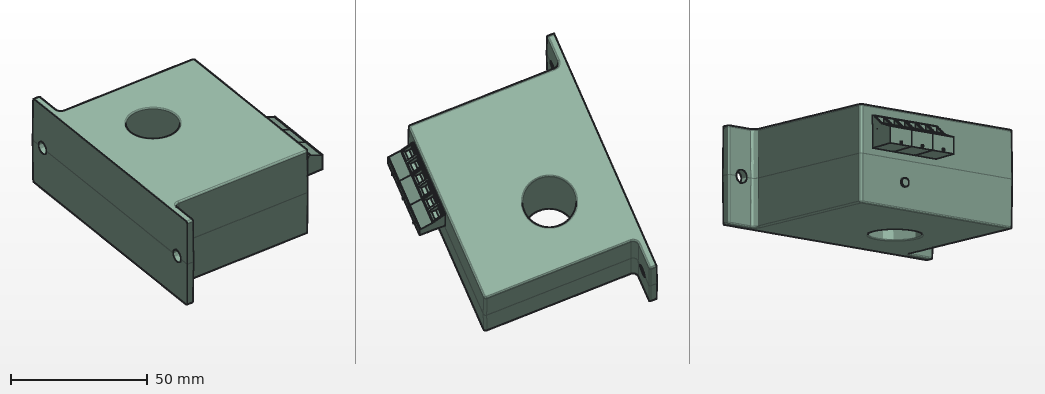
import cadquery as cq
import math


housing_height = 36.9
half_height = housing_height / 2
flange_length = 98.0
flange_thickness = 3.2
body_width = 72.9
body_depth = 63.3
draft_angle = 0.5
corner_radius = 1.0
flange_end_radius = 0.6
inner_corner_radius = 2.0
rim_radius = 0.7

cable_hole_diameter = 19.6
cable_hole_x = -10.7
cable_hole_y = 26.8
cable_hole_rim_radius = 0.5
screw_hole_diameter = 4.9
screw_hole_spacing = 85.3

boss_diameter = 3.3
boss_z = -8.3
boss_height = 0.7

terminal_count = 3
terminal_pitch = 10.1
terminal_row_x = 15.6
terminal_bottom = 2.45
terminal_lip_bottom = 2.7
terminal_top = 14.7
terminal_shelf_z = 9.1
terminal_back_y = 73.4
shelf_depth = 0.4
ramp_start_y = 63.7
ramp_end_y = 68.3
ramp_end_z = 10.9

pocket_pitch = terminal_pitch / 2
pocket_width = 4.1
pocket_wall = 0.4
pocket_floor_z = 9.3
pocket_floor_start_y = 65.1
pocket_floor_end_y = 66.7
pocket_step_z = 10.2

total_depth = 73.9
stud_diameter = 1.0
stud_z = 3.6


def back_face_y(z):
    """Y of the drafted back face of the housing at height z."""
    return body_depth - abs(z) * math.tan(math.radians(draft_angle))


def round_corners(half, x, y, radius):
    """Round the two upright edges that start at (-x, y) and (x, y) in the mid plane."""
    for corner_x in (-x, x):
        corner = cq.selectors.NearestToPointSelector((corner_x, y, half_height / 2))
        half = half.edges(corner).fillet(radius)
    return half


def housing_half():
    """Upper half of the housing: a T outline that narrows upwards."""
    flange_x = flange_length / 2
    body_x = body_width / 2
    arc_x = body_x + inner_corner_radius
    arc_y = flange_thickness + inner_corner_radius
    arc_offset = inner_corner_radius * (1 - math.sqrt(0.5))
    arc_middle_x = body_x + arc_offset
    arc_middle_y = flange_thickness + arc_offset

    half = (
        cq.Workplane("XY")
        .moveTo(-flange_x, 0)
        .lineTo(flange_x, 0)
        .lineTo(flange_x, flange_thickness)
        .lineTo(arc_x, flange_thickness)
        .threePointArc((arc_middle_x, arc_middle_y), (body_x, arc_y))
        .lineTo(body_x, body_depth)
        .lineTo(-body_x, body_depth)
        .lineTo(-body_x, arc_y)
        .threePointArc((-arc_middle_x, arc_middle_y), (-arc_x, flange_thickness))
        .lineTo(-flange_x, flange_thickness)
        .close()
        .extrude(half_height, taper=draft_angle)
    )
    half = round_corners(half, body_x, body_depth, corner_radius)
    half = round_corners(half, flange_x, flange_thickness, flange_end_radius)
    return half.faces(">Z").edges("not(<Y)").fillet(rim_radius)


def make_housing():
    """Drafted housing with a cable hole, two screw holes and a low boss."""
    upper = housing_half()
    housing = upper.union(upper.mirror("XY"))

    cable_hole = (
        cq.Workplane("XY", origin=(cable_hole_x, cable_hole_y, -half_height))
        .circle(cable_hole_diameter / 2)
        .extrude(housing_height)
    )
    housing = housing.cut(cable_hole)
    hole_rim = cq.selectors.RadiusNthSelector(-1)
    housing = housing.faces("<Z or >Z").edges("%CIRCLE").edges(hole_rim).fillet(cable_hole_rim_radius)

    screw_holes = (
        cq.Workplane("XZ")
        .pushPoints([(-screw_hole_spacing / 2, 0), (screw_hole_spacing / 2, 0)])
        .circle(screw_hole_diameter / 2)
        .extrude(-flange_thickness)
    )
    boss_end = back_face_y(boss_z) + boss_height
    boss = (
        cq.Workplane("XZ", origin=(terminal_row_x, boss_end, boss_z))
        .circle(boss_diameter / 2)
        .extrude(2 * boss_height)
    )
    return housing.cut(screw_holes).union(boss)


def make_terminal(center_x):
    """Terminal that stands against the back face, with wire pockets in its ramp."""
    body = (
        cq.Workplane("YZ", origin=(center_x, 0, 0))
        .polyline([
            (back_face_y(terminal_bottom), terminal_bottom),
            (terminal_back_y, terminal_lip_bottom),
            (terminal_back_y, terminal_shelf_z),
            (terminal_back_y - shelf_depth, terminal_shelf_z),
            (ramp_end_y, ramp_end_z),
            (ramp_start_y, terminal_top),
            (back_face_y(terminal_top), terminal_top),
        ])
        .close()
        .extrude(terminal_pitch / 2, both=True)
    )
    for side in (-1, 1):
        pocket = (
            cq.Workplane("YZ", origin=(center_x + side * pocket_pitch / 2, 0, 0))
            .polyline([
                (ramp_start_y + pocket_wall, terminal_top),
                (ramp_start_y + pocket_wall, pocket_step_z),
                (pocket_floor_start_y, pocket_floor_z),
                (pocket_floor_end_y, pocket_floor_z),
                (ramp_end_y - pocket_wall, ramp_end_z),
                (ramp_end_y - pocket_wall, terminal_top),
            ])
            .close()
            .extrude(pocket_width / 2, both=True)
        )
        body = body.cut(pocket)

    stud_radius = stud_diameter / 2
    stud = cq.Workplane("XY").sphere(stud_radius)
    stud = stud.translate((center_x, total_depth - stud_radius, stud_z))
    return body.union(stud)


housing = make_housing()

terminals = []
for index in range(terminal_count):
    offset = (index - (terminal_count - 1) / 2) * terminal_pitch
    terminals.append(make_terminal(terminal_row_x + offset).solids().val())

result = cq.Compound.makeCompound([housing.solids().val(), *terminals])